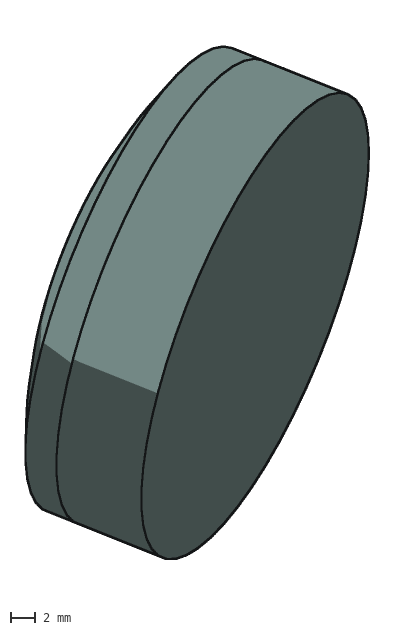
import cadquery as cq

lens_diameter = 40.0
total_thickness = 16.5
front_sag = 5.0
front_rim_width = 2.8
rear_sag = 1.05

lens_radius = lens_diameter / 2
joint_x = front_sag + front_rim_width
rear_edge_x = total_thickness - rear_sag


def arc_height(sag, radius):
    """Axial height, above the rim, of a spherical cap at the given radius from the axis."""
    sphere_radius = (lens_radius**2 + sag**2) / (2 * sag)
    return (sphere_radius**2 - radius**2) ** 0.5 - (sphere_radius - sag)


def make_element(flat_x, rim_x, vertex_x):
    """Plano-convex element: flat face at flat_x, domed face from rim_x to vertex_x."""
    mid_radius = lens_radius / 2
    sag = abs(vertex_x - rim_x)
    direction = 1 if vertex_x > rim_x else -1
    arc_middle = (rim_x + direction * arc_height(sag, mid_radius), mid_radius)
    return (
        cq.Workplane("XY")
        .moveTo(flat_x, 0)
        .lineTo(flat_x, lens_radius)
        .lineTo(rim_x, lens_radius)
        .threePointArc(arc_middle, (vertex_x, 0))
        .close()
        .revolve(360, (0, 0, 0), (1, 0, 0))
    )


front_element = make_element(joint_x, front_sag, 0)
rear_element = make_element(joint_x, rear_edge_x, total_thickness)

result = cq.Compound.makeCompound([front_element.val(), rear_element.val()])